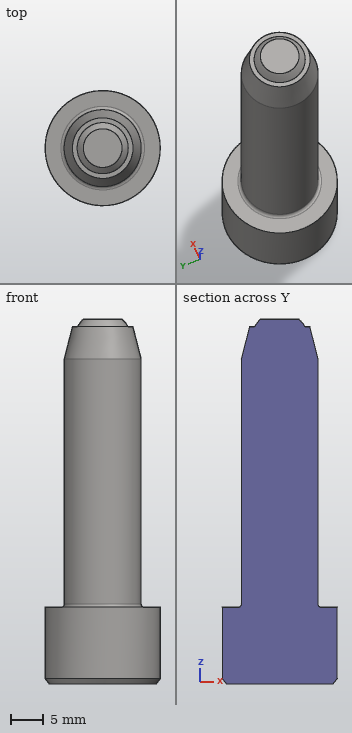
import cadquery as cq

total_height = 57.0
head_diameter = 18.0
head_height = 12.0
shank_diameter = 12.0

head_chamfer_width = 0.7
head_chamfer_height = 0.85
neck_fillet = 0.5

taper_height = 5.0
taper_top_diameter = 9.45
tip_height = 1.2
tip_base_diameter = 8.0
tip_top_diameter = 6.05
tip_round_radius = 4.55

head_radius = head_diameter / 2
shank_radius = shank_diameter / 2
taper_top = total_height - tip_height
taper_base = taper_top - taper_height
fillet_mid_offset = neck_fillet * (1 - 0.5**0.5)

profile = (
    cq.Workplane("XZ")
    .moveTo(0, 0)
    .lineTo(head_radius - head_chamfer_width, 0)
    .lineTo(head_radius, head_chamfer_height)
    .lineTo(head_radius, head_height)
    .lineTo(shank_radius + neck_fillet, head_height)
    .threePointArc(
        (shank_radius + fillet_mid_offset, head_height + fillet_mid_offset),
        (shank_radius, head_height + neck_fillet),
    )
    .lineTo(shank_radius, taper_base)
    .lineTo(taper_top_diameter / 2, taper_top)
    .lineTo(tip_base_diameter / 2, taper_top)
    .radiusArc((tip_top_diameter / 2, total_height), -tip_round_radius)
    .lineTo(0, total_height)
    .close()
)

result = profile.revolve(360, (0, 0, 0), (0, 1, 0))